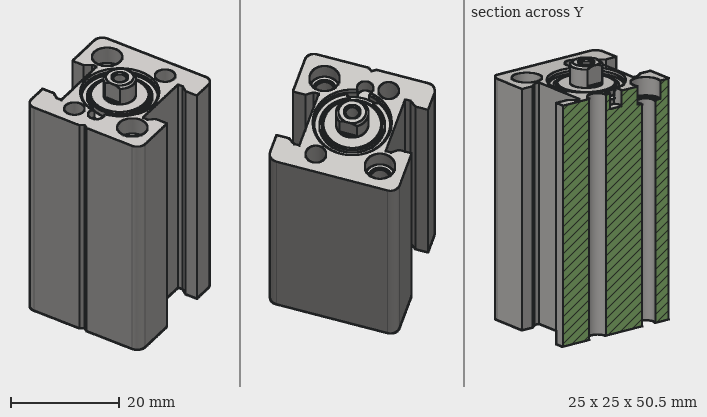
import cadquery as cq

WIDTH = 25.0
TOTAL_HEIGHT = 50.5
ROD_PROJECTION = 3.5
HOUSING_HEIGHT = TOTAL_HEIGHT - ROD_PROJECTION
CORNER_RADIUS = 1.75

SLOT_OFFSET = 1.75
SLOT_FLOOR_X = 7.8
SLOT_MOUTH_HALF = 5.05
SLOT_INNER_HALF = 6.0
SLOT_RAMP_INNER_X = 8.8
SLOT_RAMP_OUTER_X = 10.05

GROOVE_HALF_WIDTH = 0.8
GROOVE_DEPTH = 0.55

BOLT_OFFSET = 7.8
BOLT_BORE = 3.6
BOLT_COUNTERSINK = 4.15
BOLT_COUNTERBORE = 5.6
BOLT_COUNTERBORE_DEPTH = 3.55
PLAIN_HOLE = 3.8
PLAIN_HOLE_X = 4.3
PLAIN_HOLE_Y = 8.75

RECESS_DIAMETER = 14.0
RECESS_CHAMFER_WIDTH = 0.3
RECESS_CHAMFER_HEIGHT = 0.45
RING_TOP_DEPTH = 1.0
RING_THICKNESS = 1.0
RECESS_DEPTH = RING_TOP_DEPTH + RING_THICKNESS

COLLAR_DIAMETER = 11.2
COLLAR_CHAMFER = 0.3
COLLAR_TOP_DEPTH = 0.55

POCKET_DIAMETER = 3.05
POCKET_Y = -8.0
POCKET_DEPTH = 3.05

RING_INNER_DIAMETER = 12.1
GAP_OUTER_HALF = 2.9
GAP_OUTER_Y = -6.1
GAP_INNER_HALF = 2.05
GAP_INNER_Y = -5.55

ROD_DIAMETER = 6.0
ROD_CHAMFER = 0.45
ROD_FLATS_WIDTH = 5.0
ROD_FLATS_DEPTH = 0.2
ROD_SEAT_DEPTH = 10.1
ROD_HOLE = 2.45
ROD_HOLE_CHAMFER = 0.3
ROD_HOLE_DEPTH = 6.05


def cylinder(diameter, bottom, top, x=0.0, y=0.0):
    """Vertical cylinder between two heights."""
    return cq.Workplane("XY", origin=(x, y, bottom)).circle(diameter / 2).extrude(top - bottom)


def countersink(diameter, width, height, top, x=0.0, y=0.0):
    """Cone that widens a hole by the given radial width at its top edge."""
    radius = diameter / 2
    cone = cq.Solid.makeCone(radius, radius + width, height, pnt=cq.Vector(x, y, top - height))
    return cq.Workplane(obj=cone)


def side_slot():
    """Undercut slot that opens on the +X side."""
    upper = [
        (SLOT_FLOOR_X, SLOT_INNER_HALF),
        (SLOT_RAMP_INNER_X, SLOT_INNER_HALF),
        (SLOT_RAMP_OUTER_X, SLOT_MOUTH_HALF),
        (WIDTH / 2, SLOT_MOUTH_HALF),
    ]
    lower = [(x, -y) for x, y in reversed(upper)]
    profile = cq.Workplane("XY", origin=(0, SLOT_OFFSET, 0)).polyline(upper + lower).close()
    return profile.extrude(HOUSING_HEIGHT)


def front_groove():
    """V-groove along the middle of the -Y face."""
    face_y = -WIDTH / 2
    points = [(-GROOVE_HALF_WIDTH, face_y), (0, face_y + GROOVE_DEPTH), (GROOVE_HALF_WIDTH, face_y)]
    return cq.Workplane("XY").polyline(points).close().extrude(HOUSING_HEIGHT)


def stepped_bolt_hole(x, y):
    """Through bore with a counterbore at the top and a 45 degree countersink on its floor."""
    top = HOUSING_HEIGHT
    seat = top - BOLT_COUNTERBORE_DEPTH
    chamfer = (BOLT_COUNTERSINK - BOLT_BORE) / 2
    bore = cylinder(BOLT_BORE, 0, top, x, y)
    counterbore = cylinder(BOLT_COUNTERBORE, seat, top, x, y)
    return bore.union(counterbore).union(countersink(BOLT_BORE, chamfer, chamfer, seat, x, y))


def collar_recess():
    """Chamfered annular recess that leaves the rod collar standing."""
    top = HOUSING_HEIGHT
    floor = top - RECESS_DEPTH
    collar = cylinder(COLLAR_DIAMETER, floor, top - COLLAR_TOP_DEPTH)
    collar = collar.faces(">Z").chamfer(COLLAR_CHAMFER)
    recess = cylinder(RECESS_DIAMETER, floor, top)
    chamfer = countersink(RECESS_DIAMETER, RECESS_CHAMFER_WIDTH, RECESS_CHAMFER_HEIGHT, top)
    recess = recess.union(chamfer)
    return recess.cut(collar)


def make_housing():
    """Extruded body with slots, mounting holes, collar recess and rod seat."""
    top = HOUSING_HEIGHT
    body = cq.Workplane("XY").rect(WIDTH, WIDTH).extrude(top).edges("|Z").fillet(CORNER_RADIUS)
    body = body.cut(front_groove())
    for side in (1, -1):
        turn = 0 if side == 1 else 180
        body = body.cut(side_slot().rotate((0, 0, 0), (0, 0, 1), turn))
        body = body.cut(stepped_bolt_hole(side * BOLT_OFFSET, -side * BOLT_OFFSET))
        body = body.cut(cylinder(PLAIN_HOLE, 0, top, side * PLAIN_HOLE_X, side * PLAIN_HOLE_Y))

    pocket = cylinder(POCKET_DIAMETER, top - POCKET_DEPTH, top, y=POCKET_Y)
    pocket = pocket.cut(cylinder(RECESS_DIAMETER, top - POCKET_DEPTH, top))
    body = body.cut(pocket).cut(collar_recess())
    return body.cut(cylinder(ROD_DIAMETER, top - ROD_SEAT_DEPTH, top))


def make_retaining_ring():
    """Flat C-shaped ring with its gap toward -Y."""
    bottom = HOUSING_HEIGHT - RECESS_DEPTH
    top = bottom + RING_THICKNESS
    ring = cylinder(RECESS_DIAMETER, bottom, top).cut(cylinder(RING_INNER_DIAMETER, bottom, top))
    clear_y = -RECESS_DIAMETER / 2
    gap_points = [
        (GAP_INNER_HALF, GAP_INNER_Y),
        (GAP_OUTER_HALF, GAP_OUTER_Y),
        (GAP_OUTER_HALF, clear_y),
        (-GAP_OUTER_HALF, clear_y),
        (-GAP_OUTER_HALF, GAP_OUTER_Y),
        (-GAP_INNER_HALF, GAP_INNER_Y),
    ]
    gap = cq.Workplane("XY", origin=(0, 0, bottom)).polyline(gap_points).close().extrude(RING_THICKNESS)
    return ring.cut(gap)


def make_rod():
    """Rod with two wrench flats that end just inside the recess, and a chamfered end hole."""
    rod = cylinder(ROD_DIAMETER, HOUSING_HEIGHT - ROD_SEAT_DEPTH, TOTAL_HEIGHT)
    rod = rod.faces(">Z").chamfer(ROD_CHAMFER)
    envelope = 2 * ROD_DIAMETER
    flats_base = HOUSING_HEIGHT - ROD_FLATS_DEPTH
    outside_flats = cq.Workplane("XY", origin=(0, 0, flats_base)).rect(envelope, envelope)
    outside_flats = outside_flats.rect(envelope, ROD_FLATS_WIDTH).extrude(TOTAL_HEIGHT - flats_base)
    rod = rod.cut(outside_flats)
    rod = rod.cut(cylinder(ROD_HOLE, TOTAL_HEIGHT - ROD_HOLE_DEPTH, TOTAL_HEIGHT))
    return rod.cut(countersink(ROD_HOLE, ROD_HOLE_CHAMFER, ROD_HOLE_CHAMFER, TOTAL_HEIGHT))


housing = make_housing()
retaining_ring = make_retaining_ring()
rod = make_rod()

result = cq.Compound.makeCompound([housing.val(), retaining_ring.val(), rod.val()])